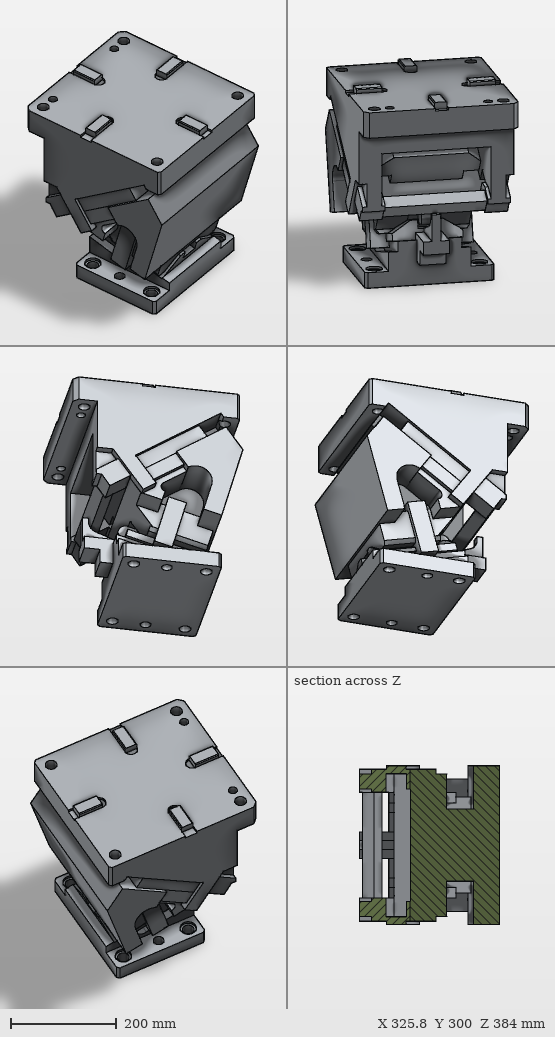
import cadquery as cq
import math

SLIDE_ANGLE = 35.0
DRIVE_ANGLE = 15.0
SLIDE_ORIGIN = (-34.0, 171.0)
DRIVE_ORIGIN = (-28.0, 84.0)

HEIGHT = 384.0
WIDTH = 300.0
PLATE_LEFT = -145.0
PLATE_RIGHT = 175.0
PLATE_TOP = 374.8
PLATE_THICK = 50.0
PLATE_LEFT_CHAMFER = 10.0
PLATE_RIGHT_CHAMFER = 5.0
FLANGE_DROP = 4.5
CHEEK_LEFT = -100.0
SKIN_BOTTOM = 221.5
CHEEK_INSIDE = 106.0
OPENING_TOP = 279.0
ARM_INSIDE = 134.8
ARM_WIDTH = 30.7
ARM_DROP = 39.5
NOSE_HALF_WIDTH = 99.5
NOSE_TOP = 83.7
NOSE_CHAMFER = 27.0
LAYER = 30.0
RAIL_END = 181.2
RAIL_OUTSIDE = 143.5
PAD_HALF_WIDTH = 70.0
PAD_THICK = 22.5
PAD_END = 182.8
GIB_LENGTH = 49.0
GIB_THICK = 42.2
TIE_LENGTH = 26.5
TIE_BOTTOM = 7.3
TIE_TOP = 35.0
GIB_FLAT_LEFT = -90.2
GIB_FLAT_HEIGHT = 166.5

BOLT_HOLE_DIAMETER = 22.0
DOWEL_HOLE_DIAMETER = 16.5
HOLE_INSET = 25.0
DOWEL_Y = 95.2

KEY_LENGTH = 50.0
KEY_WIDTH = 25.0
KEY_SEAT_DEPTH = 4.5
KEY_CHAMFER = 2.0
KEY_INSET_X = 10.0
KEY_INSET_Y = 15.0

SLIDER_LENGTH = 222.5
SLIDER_RIGHT = 158.2
CHEEK_START = 106.0
SLIDER_CHEEK_BOTTOM = 58.5
ARCH_TOP = -39.5
ARCH_RIGHT = 122.0
ARCH_RADIUS = 30.0
LEDGE = 79.0
POCKET_INSIDE = 68.5
POCKET_LEFT = 43.0
POCKET_CORNER = 10.5
STRIP_BOTTOM = -28.0
CORE_HALF_WIDTH = 90.5
CORE_RIGHT = 153.2
CORE_LEFT = 37.2
CORE_BOTTOM = 15.0
CORE_CHAMFER_HEIGHT = 8.0
CORE_CHAMFER_WIDTH = 5.8
STOP_START = 192.0
STOP_END = 231.0
STOP_HALF_WIDTH = 99.5
CLIP_LEFT = 53.5
CLIP_RIGHT = 89.0
CLIP_TOP = 93.7
CLIP_BOTTOM = -12.3
CLIP_INSIDE = 80.0
CLIP_OUTSIDE = 99.5
CLIP_FOOT_INSIDE = 63.5
CLIP_FOOT_TOP = -0.8
HOOK_RADIUS = 15.7
HOOK_ALONG = -11.5
HOOK_ABOVE = -47.2
HOOK_ARM_TOP = -36.5
HOOK_ARM_BOTTOM = -56.0
HOOK_ARM_ROOT = 15.7
HOOK_HALF_WIDTH = 13.0
HOOK_RECESS_HALF_WIDTH = 32.0
HOOK_RECESS_DEPTH = 12.0

BASE_LEFT = -45.0
BASE_RIGHT = 144.8
BASE_THICK = 30.7
BASE_HALF_WIDTH = 125.0
BASE_CHAMFER = 5.0
BODY_HALF_WIDTH = 80.0
RIDGE_LENGTH = 158.5
RIDGE_EDGE = 7.5
RIDGE_TOP = 37.5
SHOULDER_TOP = 10.5
RIDGE_TOP_HALF_WIDTH = 32.0
RIDGE_GROOVE_HALF_WIDTH = 17.5
RIDGE_GROOVE_DEPTH = 16.5
SLOT_DEPTH = 19.5
SLOT_END_RADIUS = 19.2
SLOT_INSIDE = 62.0
SLOT_END = 113.3
ENTRY_INSIDE = 68.5
FIN_HALF_WIDTH = 8.5
BRACKET_HALF_WIDTH = 25.5
BRACKET_TOP = 100.2
BRACKET_BOTTOM = 74.5
BRACKET_FOOT_LEFT = -69.5
BRACKET_FOOT_BOTTOM = 46.0
BRACKET_RIGHT = -34.0
FIN_TOP = 152.5
FIN_TIP_RIGHT = -88.5
FIN_CURVE_TOP = 140.0
FIN_CURVE_MIDDLE = (-84.5, 132.0)
FIN_CURVE_END = (-76.8, 124.8)
FIN_RIGHT_TOP = 108.3
BASE_HOLE_Y = 102.0
BASE_HOLE_SPACING = 139.8
BASE_BOLT_DIAMETER = 22.0
BASE_BORE_DIAMETER = 30.7
BASE_BORE_DEPTH = 5.0
BASE_DOWEL_DIAMETER = 20.0
BASE_DOWEL_SHIFT = 6.0

FAR = 384.0


def slide(along, above):
    """Point (x, z) given along and above the slide surface."""
    a = math.radians(SLIDE_ANGLE)
    return (SLIDE_ORIGIN[0] + along * math.cos(a) - above * math.sin(a),
            SLIDE_ORIGIN[1] + along * math.sin(a) + above * math.cos(a))


def drive(along, above):
    """Point (x, z) given along and above the base of the V-guide."""
    a = math.radians(DRIVE_ANGLE)
    return (DRIVE_ORIGIN[0] + along * math.cos(a) + above * math.sin(a),
            DRIVE_ORIGIN[1] - along * math.sin(a) + above * math.cos(a))


def slide_line(above):
    """Line along the slide, as a point and the angle of its direction."""
    return slide(0, above), SLIDE_ANGLE


def slide_end(along):
    """Line square to the slide."""
    return slide(along, 0), SLIDE_ANGLE + 90


def drive_line(above):
    """Line along the V-guide."""
    return drive(0, above), -DRIVE_ANGLE


def drive_end(along):
    """Line square to the V-guide."""
    return drive(along, 0), 90 - DRIVE_ANGLE


def level(z):
    """Horizontal line."""
    return (0, z), 0


def upright(x):
    """Vertical line."""
    return (x, 0), 90


def crossing(first, second):
    """Point (x, z) where two lines cross."""
    (x1, z1), angle1 = first
    (x2, z2), angle2 = second
    heading = math.radians(angle2)
    turn = math.radians(angle2 - angle1)
    reach = ((x2 - x1) * math.sin(heading) - (z2 - z1) * math.cos(heading)) / math.sin(turn)
    return (x1 + reach * math.cos(math.radians(angle1)),
            z1 + reach * math.sin(math.radians(angle1)))


def centred(outline, half_width):
    """Prism of an (x, z) outline, reaching equally to both sides of Y = 0."""
    return cq.Workplane("XZ").polyline(outline).close().extrude(half_width, both=True)


def paired(outline, inside, outside):
    """Two prisms of an (x, z) outline, at equal distances on both sides of Y = 0."""
    near = cq.Workplane("XZ", origin=(0, -inside, 0)).polyline(outline).close().extrude(outside - inside)
    return near.union(near.mirror("XZ"))


def slide_rectangle(start, end, bottom, top):
    return [slide(start, bottom), slide(end, bottom), slide(end, top), slide(start, top)]


def drive_rectangle(start, end, bottom, top):
    return [drive(start, bottom), drive(end, bottom), drive(end, top), drive(start, top)]


def drive_section(outline, start, end):
    """Prism along the V-guide of an outline given as (y, height above its base)."""
    a = math.radians(DRIVE_ANGLE)
    x, z = drive(start, 0)
    plane = cq.Plane(origin=(x, 0, z), xDir=(0, 1, 0), normal=(math.cos(a), 0, -math.sin(a)))
    return cq.Workplane(plane).polyline(outline).close().extrude(end - start)


def mounting_plate():
    length = PLATE_RIGHT - PLATE_LEFT
    plate = cq.Workplane("XY").box(length, WIDTH, PLATE_THICK, centered=(False, True, False))
    plate = plate.edges("|Z and <X").chamfer(PLATE_LEFT_CHAMFER)
    return plate.translate((PLATE_LEFT, 0, PLATE_TOP - PLATE_THICK))


def flange():
    """Lower layer of the plate, from the cheeks to its right edge."""
    bottom = PLATE_TOP - PLATE_THICK - FLANGE_DROP
    layer = cq.Workplane("XY").box(PLATE_RIGHT - CHEEK_LEFT, WIDTH, FLANGE_DROP, centered=(False, True, False))
    return layer.translate((CHEEK_LEFT, 0, bottom))


def cheeks():
    """Block under the plate with its arms and gibs, before the opening is cut."""
    top = PLATE_TOP - PLATE_THICK
    skin_corner = crossing(slide_end(0), level(SKIN_BOTTOM))
    shell = [
        (CHEEK_LEFT, top), (CHEEK_LEFT, SKIN_BOTTOM), skin_corner,
        slide(0, LAYER), slide(ARM_WIDTH, LAYER), crossing(slide_line(LAYER), level(top)),
    ]
    arm = slide_rectangle(0, ARM_WIDTH, -ARM_DROP, LAYER)
    lower = [
        (CHEEK_LEFT, SKIN_BOTTOM), (CHEEK_LEFT, GIB_FLAT_HEIGHT), (GIB_FLAT_LEFT, GIB_FLAT_HEIGHT),
        slide(-GIB_LENGTH, 0), slide(0, 0), skin_corner,
    ]
    gib = [
        slide(0, 0), slide(0, GIB_THICK), crossing(slide_line(GIB_THICK), upright(CHEEK_LEFT)),
        (CHEEK_LEFT, GIB_FLAT_HEIGHT), (GIB_FLAT_LEFT, GIB_FLAT_HEIGHT), slide(-GIB_LENGTH, 0),
    ]
    half = WIDTH / 2
    return (centred(shell, half)
            .union(paired(arm, ARM_INSIDE, half))
            .union(paired(lower, CHEEK_INSIDE, ARM_INSIDE))
            .union(paired(gib, NOSE_HALF_WIDTH, RAIL_OUTSIDE)))


def opening():
    """Space between the cheeks, open towards -X and downwards."""
    outline = [
        (-FAR, OPENING_TOP), crossing(slide_line(LAYER), level(OPENING_TOP)),
        slide(0, LAYER), (-FAR, SLIDE_ORIGIN[1]),
    ]
    return centred(outline, CHEEK_INSIDE)


def nose():
    """Central web that hangs into the opening, with chamfered upper corners."""
    a = math.radians(SLIDE_ANGLE)
    x, z = slide(ARM_WIDTH, 0)
    plane = cq.Plane(origin=(x, 0, z), xDir=(0, 1, 0), normal=(math.cos(a), 0, math.sin(a)))
    shoulder = NOSE_HALF_WIDTH - NOSE_CHAMFER
    section = [
        (-NOSE_HALF_WIDTH, LAYER), (NOSE_HALF_WIDTH, LAYER), (NOSE_HALF_WIDTH, NOSE_TOP - NOSE_CHAMFER),
        (shoulder, NOSE_TOP), (-shoulder, NOSE_TOP), (-NOSE_HALF_WIDTH, NOSE_TOP - NOSE_CHAMFER),
    ]
    return cq.Workplane(plane).polyline(section).close().extrude(PAD_END - ARM_WIDTH)


def rails():
    """Two outer rails and a thinner middle pad under the holder."""
    outer = slide_rectangle(ARM_WIDTH, RAIL_END, 0, LAYER)
    middle = slide_rectangle(ARM_WIDTH, PAD_END, LAYER - PAD_THICK, LAYER)
    return paired(outer, CHEEK_INSIDE, RAIL_OUTSIDE).union(centred(middle, PAD_HALF_WIDTH))


def tie_bar():
    """Bar across the opening that joins the two gibs."""
    end = TIE_LENGTH - GIB_LENGTH
    return centred(slide_rectangle(-GIB_LENGTH, end, TIE_BOTTOM, TIE_TOP), NOSE_HALF_WIDTH)


def plate_holes():
    left = PLATE_LEFT + HOLE_INSET
    right = PLATE_RIGHT - HOLE_INSET
    bolt_y = WIDTH / 2 - HOLE_INSET
    depth = PLATE_THICK + FLANGE_DROP
    bolts = (cq.Workplane("XY", origin=(0, 0, PLATE_TOP - depth))
             .pushPoints([(x, y) for x in (left, right) for y in (-bolt_y, bolt_y)])
             .circle(BOLT_HOLE_DIAMETER / 2).extrude(depth))
    dowels = (cq.Workplane("XY", origin=(0, 0, PLATE_TOP - depth))
              .pushPoints([(left, -DOWEL_Y), (left, DOWEL_Y)])
              .circle(DOWEL_HOLE_DIAMETER / 2).extrude(depth))
    return bolts.union(dowels)


def key_places():
    """Middle of each plate edge, the direction that leads inwards from it and the key's inset."""
    half = WIDTH / 2
    return [
        ((PLATE_LEFT, 0), 0, KEY_INSET_X), ((PLATE_RIGHT, 0), 180, KEY_INSET_X),
        ((0, -half), 90, KEY_INSET_Y), ((0, half), 270, KEY_INSET_Y),
    ]


def key_seat(edge, direction, inset):
    """Slot from the plate edge to a round end just behind the key."""
    straight = inset + KEY_LENGTH
    seat = (cq.Workplane("XY")
            .box(straight, KEY_WIDTH, KEY_SEAT_DEPTH, centered=(False, True, False))
            .union(cq.Workplane("XY").center(straight, 0).circle(KEY_WIDTH / 2).extrude(KEY_SEAT_DEPTH)))
    return (seat.rotate((0, 0, 0), (0, 0, 1), direction)
            .translate((edge[0], edge[1], PLATE_TOP - KEY_SEAT_DEPTH)))


def key(edge, direction, inset):
    height = HEIGHT - PLATE_TOP + KEY_SEAT_DEPTH
    block = cq.Workplane("XY").box(KEY_LENGTH, KEY_WIDTH, height, centered=(False, True, False))
    block = block.edges("|X and >Z").chamfer(KEY_CHAMFER)
    return (block.translate((inset, 0, 0)).rotate((0, 0, 0), (0, 0, 1), direction)
            .translate((edge[0], edge[1], PLATE_TOP - KEY_SEAT_DEPTH)))


def make_holder():
    body = mounting_plate().union(flange())
    body = body.edges("|Z and >X").chamfer(PLATE_RIGHT_CHAMFER)
    body = body.union(cheeks()).cut(opening()).union(nose())
    body = body.cut(centred(slide_rectangle(ARM_WIDTH, STOP_END, 0, LAYER), FAR))
    body = body.union(rails()).union(tie_bar()).cut(plate_holes())
    for place in key_places():
        body = body.cut(key_seat(*place)).union(key(*place))
    return body


def ridge_section(bottom):
    """Outline (y, height) of the V-guide, from `bottom` up to its flat top."""
    return [
        (-BODY_HALF_WIDTH, bottom), (BODY_HALF_WIDTH, bottom), (BODY_HALF_WIDTH, RIDGE_EDGE),
        (RIDGE_TOP_HALF_WIDTH, RIDGE_TOP), (-RIDGE_TOP_HALF_WIDTH, RIDGE_TOP),
        (-BODY_HALF_WIDTH, RIDGE_EDGE),
    ]


def slider_core():
    outline = [
        slide(0, 0), slide(SLIDER_LENGTH, 0), crossing(slide_end(SLIDER_LENGTH), drive_end(SLIDER_RIGHT)),
        drive(SLIDER_RIGHT, SLIDER_CHEEK_BOTTOM), drive(CORE_RIGHT, SLIDER_CHEEK_BOTTOM),
        drive(CORE_RIGHT, CORE_BOTTOM), drive(CORE_LEFT, CORE_BOTTOM),
        drive(CORE_LEFT, CORE_BOTTOM + CORE_CHAMFER_HEIGHT),
        crossing(slide_end(0), drive_line(CORE_BOTTOM + CORE_CHAMFER_HEIGHT)),
    ]
    return centred(outline, CORE_HALF_WIDTH)


def core_side_chamfer(side):
    """Wedge that bevels one lower long edge of the core."""
    outer = side * CORE_HALF_WIDTH
    inner = side * (CORE_HALF_WIDTH - CORE_CHAMFER_WIDTH)
    wedge = [(outer, CORE_BOTTOM), (outer, CORE_BOTTOM + CORE_CHAMFER_HEIGHT), (inner, CORE_BOTTOM)]
    return drive_section(wedge, 0, CORE_RIGHT)


def slider_cheeks():
    """Outer cheeks on the upper right."""
    outline = [
        slide(CHEEK_START, 0), crossing(slide_end(CHEEK_START), drive_end(ARCH_RIGHT)),
        drive(ARCH_RIGHT, SLIDER_CHEEK_BOTTOM), drive(SLIDER_RIGHT, SLIDER_CHEEK_BOTTOM),
        crossing(slide_end(SLIDER_LENGTH), drive_end(SLIDER_RIGHT)), slide(SLIDER_LENGTH, 0),
    ]
    return paired(outline, POCKET_INSIDE, WIDTH / 2)


def slider_wings():
    """Plates on both sides that carry the slide surface between the holder's arms."""
    outline = [
        slide(0, 0), slide(CHEEK_START, 0), slide(CHEEK_START, ARCH_TOP),
        crossing(slide_line(ARCH_TOP), drive_end(POCKET_LEFT)), drive(POCKET_LEFT, SLIDER_CHEEK_BOTTOM),
        crossing(slide_end(0), drive_line(SLIDER_CHEEK_BOTTOM)),
    ]
    strip = slide_rectangle(ARM_WIDTH, CHEEK_START, STRIP_BOTTOM, 0)
    return paired(outline, POCKET_INSIDE, ARM_INSIDE).union(paired(strip, POCKET_INSIDE, RAIL_OUTSIDE))


def arch_pockets():
    """Arch-shaped pockets that reach through the cheeks into the sides of the core."""
    left_corner = crossing(slide_line(ARCH_TOP), drive_line(LEDGE))
    right_corner = crossing(slide_line(ARCH_TOP), drive_end(ARCH_RIGHT))
    pockets = paired([left_corner, drive(ARCH_RIGHT, LEDGE), right_corner], POCKET_INSIDE, WIDTH / 2)
    pockets = pockets.edges("|Y and <X").fillet(POCKET_CORNER)
    return pockets.edges("|Y and >Z").fillet(ARCH_RADIUS)


def clips():
    """Plates that hold the slider down, each with a foot in the driver's side slot."""
    upper = drive_rectangle(CLIP_LEFT, CLIP_RIGHT, 0, CLIP_TOP)
    lower = drive_rectangle(CLIP_LEFT, CLIP_RIGHT, CLIP_BOTTOM, CORE_BOTTOM)
    foot = drive_rectangle(CLIP_LEFT, CLIP_RIGHT, CLIP_BOTTOM, CLIP_FOOT_TOP)
    return (paired(upper, CLIP_INSIDE, CLIP_OUTSIDE)
            .union(paired(lower, ENTRY_INSIDE, CLIP_OUTSIDE))
            .union(paired(foot, CLIP_FOOT_INSIDE, ENTRY_INSIDE)))


def hook_recess():
    """Notch in the lower end of the core, around the hook."""
    outline = [
        crossing(slide_end(0), drive_line(SLIDER_CHEEK_BOTTOM)),
        crossing(slide_end(HOOK_RECESS_DEPTH), drive_line(SLIDER_CHEEK_BOTTOM)),
        slide(HOOK_RECESS_DEPTH, -FAR), slide(-FAR, -FAR), drive(-FAR, SLIDER_CHEEK_BOTTOM),
    ]
    return centred(outline, HOOK_RECESS_HALF_WIDTH)


def hook():
    """Round hook at the lower end, joined to the core by a short arm."""
    arm = slide_rectangle(HOOK_ALONG, HOOK_ARM_ROOT, HOOK_ARM_BOTTOM, HOOK_ARM_TOP)
    disc = (cq.Workplane("XZ").center(*slide(HOOK_ALONG, HOOK_ABOVE)).circle(HOOK_RADIUS)
            .extrude(HOOK_HALF_WIDTH, both=True))
    return disc.union(centred(arm, HOOK_HALF_WIDTH))


def stop():
    """Block across the upper end of the slide surface."""
    return centred(slide_rectangle(STOP_START, STOP_END, 0, LAYER), STOP_HALF_WIDTH)


def make_slider():
    body = slider_core()
    for side in (-1, 1):
        body = body.cut(core_side_chamfer(side))
    body = body.union(slider_cheeks()).union(slider_wings()).cut(arch_pockets())
    body = body.cut(drive_section(ridge_section(-FAR), -FAR, FAR)).cut(hook_recess())
    return body.union(clips()).union(hook()).union(stop())


def driver_base():
    base = cq.Workplane("XY").box(BASE_RIGHT - BASE_LEFT, 2 * BASE_HALF_WIDTH, BASE_THICK,
                                  centered=(False, True, False))
    base = base.edges("|Z").chamfer(BASE_CHAMFER).translate((BASE_LEFT, 0, 0))
    middle = (BASE_LEFT + BASE_RIGHT) / 2
    rows = (-BASE_HOLE_Y, BASE_HOLE_Y)
    bolts = [(middle + step * BASE_HOLE_SPACING / 2, y) for step in (-1, 1) for y in rows]
    dowels = [(middle - BASE_DOWEL_SHIFT, y) for y in rows]
    base = (base.faces(">Z").workplane(origin=(0, 0, BASE_THICK)).pushPoints(bolts)
            .cboreHole(BASE_BOLT_DIAMETER, BASE_BORE_DIAMETER, BASE_BORE_DEPTH))
    return (base.faces(">Z").workplane(origin=(0, 0, BASE_THICK)).pushPoints(dowels)
            .hole(BASE_DOWEL_DIAMETER))


def driver_body():
    """Block under the V-guide, its top level with the guide's base on the left."""
    outline = [
        (BASE_LEFT, BASE_THICK), (BASE_RIGHT, BASE_THICK),
        crossing(drive_line(SHOULDER_TOP), upright(BASE_RIGHT)), drive(RIDGE_LENGTH, SHOULDER_TOP),
        drive(RIDGE_LENGTH, RIDGE_EDGE), drive(0, RIDGE_EDGE), drive(0, 0),
        crossing(drive_line(0), upright(BASE_LEFT)),
    ]
    return centred(outline, BODY_HALF_WIDTH)


def ridge_groove():
    """Groove along the flat top of the V-guide."""
    half = RIDGE_GROOVE_HALF_WIDTH
    bottom = RIDGE_TOP - RIDGE_GROOVE_DEPTH
    outline = [(-half, bottom), (half, bottom), (half, RIDGE_TOP), (-half, RIDGE_TOP)]
    return drive_section(outline, 0, RIDGE_LENGTH)


def side_slots():
    """Slots in both sides of the body, rounded at the end, with an entry above them."""
    outline = drive_rectangle(-FAR, SLOT_END, -SLOT_DEPTH, 0)
    slots = paired(outline, SLOT_INSIDE, BODY_HALF_WIDTH)
    slots = slots.edges("|Y and <Z").fillet(SLOT_END_RADIUS)
    entry = drive_rectangle(-FAR, CLIP_RIGHT, 0, RIDGE_TOP)
    return slots.union(paired(entry, ENTRY_INSIDE, BODY_HALF_WIDTH))


def fin_bracket():
    """Stepped bracket on the left side, with a narrow fin above it."""
    lower = [
        (CHEEK_LEFT, BRACKET_BOTTOM), (BRACKET_FOOT_LEFT, BRACKET_BOTTOM),
        (BRACKET_FOOT_LEFT, BRACKET_FOOT_BOTTOM), (BASE_LEFT, BRACKET_FOOT_BOTTOM),
        crossing(drive_line(0), upright(BASE_LEFT)), crossing(drive_line(0), upright(BRACKET_RIGHT)),
        (BRACKET_RIGHT, BRACKET_TOP), (CHEEK_LEFT, BRACKET_TOP),
    ]
    fin = (cq.Workplane("XZ").moveTo(CHEEK_LEFT, BRACKET_TOP).lineTo(CHEEK_LEFT, FIN_TOP)
           .lineTo(FIN_TIP_RIGHT, FIN_TOP).lineTo(FIN_TIP_RIGHT, FIN_CURVE_TOP)
           .threePointArc(FIN_CURVE_MIDDLE, FIN_CURVE_END)
           .lineTo(BRACKET_RIGHT, FIN_RIGHT_TOP).lineTo(BRACKET_RIGHT, BRACKET_TOP).close()
           .extrude(FIN_HALF_WIDTH, both=True))
    return centred(lower, BRACKET_HALF_WIDTH).union(fin)


def make_driver():
    body = driver_base().union(driver_body())
    body = body.union(drive_section(ridge_section(0), 0, RIDGE_LENGTH))
    return body.cut(ridge_groove()).cut(side_slots()).union(fin_bracket())


holder = make_holder()
slider = make_slider()
driver = make_driver()
result = cq.Compound.makeCompound([holder.val(), slider.val(), driver.val()])